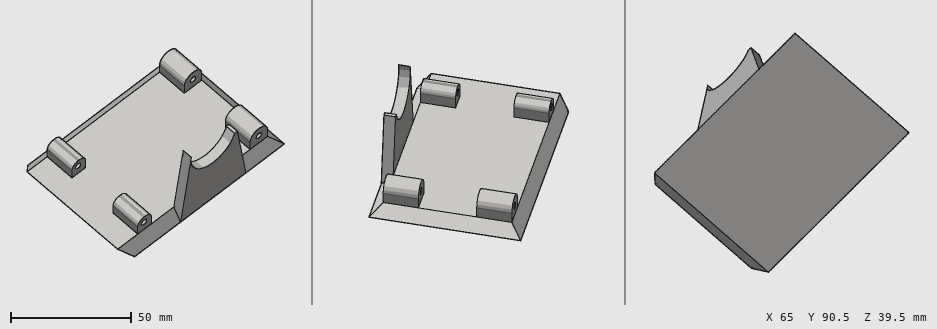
import cadquery as cq
import math

width = 65.0
length = 90.5
plate_height = 5.0
bevel = plate_height
top_width = width - 2 * bevel
slab_length = length - bevel
slab_center = bevel / 2
top_back = length / 2 - bevel

lug_length = 15.0
hole_height = 10.0
hole_diameter = 3.0
back_lug_width = 2 * bevel
back_lug_radius = back_lug_width / 2
back_lug_y = top_back - back_lug_radius
front_lug_width = 7.8
front_lug_radius = 3.5
front_lug_y = -29.9
front_hole_y = front_lug_y - front_lug_width / 2 + front_lug_radius

wall_thickness = bevel
wall_back_y = 22.5
wall_front_y = -13.2
shoulder_back_y = 18.4
shoulder_height = 33.6
tip_height = 39.5
cradle_radius = 12.7
cradle_y = 4.6
cradle_height = 37.2


def make_plate():
    """Loft between equal-length rectangles, the upper one narrower and shifted forward."""
    return (
        cq.Workplane("XY")
        .center(0, slab_center)
        .rect(width, slab_length)
        .workplane(offset=plate_height)
        .center(0, -bevel)
        .rect(top_width, slab_length)
        .loft(ruled=True)
    )


def make_lug(start_x, center_y, lug_width, radius, hole_y):
    """Upright lug with rounded top corners and a hole along X."""
    side_back = center_y + lug_width / 2
    side_front = center_y - lug_width / 2
    top = hole_height + radius
    diagonal = radius * math.sqrt(0.5)
    outline = (
        cq.Workplane("YZ", origin=(start_x, 0, 0))
        .moveTo(side_front, plate_height)
        .lineTo(side_back, plate_height)
        .lineTo(side_back, hole_height)
        .threePointArc(
            (side_back - radius + diagonal, hole_height + diagonal),
            (side_back - radius, top),
        )
    )
    if lug_width > 2 * radius:
        outline = outline.lineTo(side_front + radius, top)
    body = (
        outline
        .threePointArc(
            (side_front + radius - diagonal, hole_height + diagonal),
            (side_front, hole_height),
        )
        .close()
        .extrude(lug_length)
    )
    hole = (
        cq.Workplane("YZ", origin=(start_x, hole_y, hole_height))
        .circle(hole_diameter / 2)
        .extrude(lug_length)
    )
    return body.cut(hole)


def cradle_offset(height):
    """Horizontal distance from the cradle axis to its arc at a given height."""
    return math.sqrt(cradle_radius**2 - (height - cradle_height) ** 2)


def make_wall():
    """Tapered wall with a round cradle cut between its shoulder and pointed tip."""
    tip_y = cradle_y - cradle_offset(tip_height)
    shoulder_front_y = cradle_y + cradle_offset(shoulder_height)
    back_slope = (wall_back_y - shoulder_back_y) / (shoulder_height - plate_height)
    front_slope = (tip_y - wall_front_y) / (tip_height - plate_height)
    return (
        cq.Workplane("YZ", origin=(width / 2 - wall_thickness, 0, 0))
        .moveTo(wall_front_y - front_slope * plate_height, 0)
        .lineTo(wall_back_y + back_slope * plate_height, 0)
        .lineTo(shoulder_back_y, shoulder_height)
        .lineTo(shoulder_front_y, shoulder_height)
        .threePointArc((cradle_y, cradle_height - cradle_radius), (tip_y, tip_height))
        .close()
        .extrude(wall_thickness)
    )


result = make_plate().union(make_wall())
for lug_start in (-top_width / 2, top_width / 2 - lug_length):
    back_lug = make_lug(lug_start, back_lug_y, back_lug_width, back_lug_radius, back_lug_y)
    front_lug = make_lug(lug_start, front_lug_y, front_lug_width, front_lug_radius, front_hole_y)
    result = result.union(back_lug).union(front_lug)